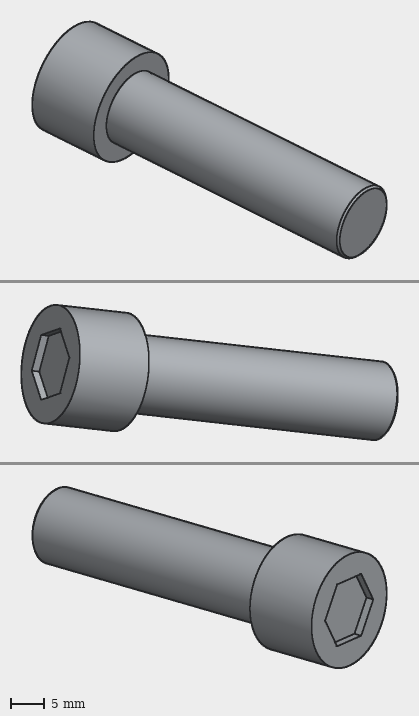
import cadquery as cq
import math

total_length = 57.0
shank_diameter = 11.95
head_diameter = 18.0
head_length = shank_diameter
tip_chamfer = 0.35
socket_across_flats = 10.0
socket_depth = 1.3

head_plane = cq.Workplane("YZ")

head = head_plane.circle(head_diameter / 2).extrude(head_length)
shank = (
    head_plane.circle(shank_diameter / 2)
    .extrude(total_length)
    .faces(">X")
    .chamfer(tip_chamfer)
)

socket_across_corners = socket_across_flats / math.cos(math.pi / 6)
socket = head_plane.polygon(6, socket_across_corners).extrude(socket_depth)

result = head.union(shank).cut(socket)